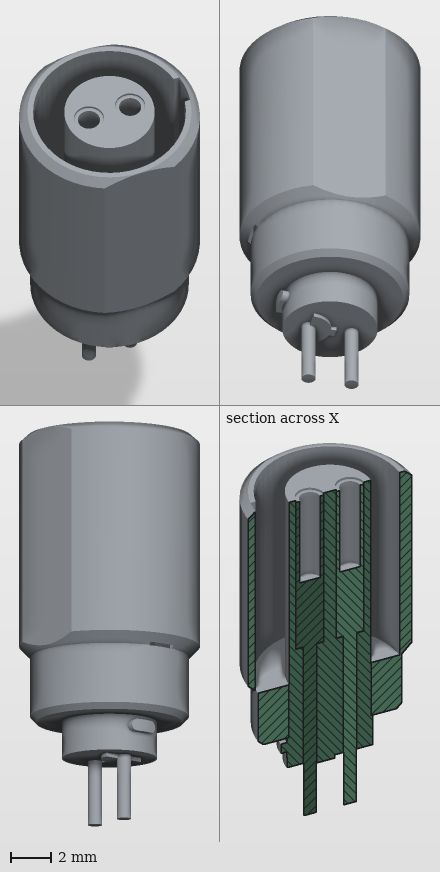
import cadquery as cq

total_height = 19.5
tail_length = 3.22

shell_radius = 4.5
flat_spacing = 8.2
sleeve_radius = 3.95
bore_radius = 3.8
rim_radius = 4.08
rim_chamfer_height = 0.37
sleeve_bottom = 5.03
sleeve_chamfer = 0.3
shell_bottom = 8.32
shell_chamfer = shell_radius - sleeve_radius
bore_floor = 8.3
key_width = 1.5

insulator_radius = 2.25
neck_radius = 2.37
lug_radius = 2.7
lug_height = 0.6
lug_z = 4.49
mark_radius = 1.13
mark_height = 0.2
mark_tab_reach = 1.37
mark_tab_width = 0.5

contact_spacing = 2.2
socket_radius = 0.75
socket_bore_radius = 0.55
socket_recess = 0.12
socket_bore_depth = 5.0
socket_length = 9.0
tail_radius = 0.355

socket_top = total_height - socket_recess
socket_bottom = socket_top - socket_length
contact_positions = [(0, side * contact_spacing / 2) for side in (1, -1)]


def cylinder(radius, bottom, top, center=(0, 0)):
    """Upright cylinder between two heights."""
    return cq.Workplane("XY", origin=(*center, bottom)).circle(radius).extrude(top - bottom)


def make_housing():
    """Flatted shell above a round sleeve, with a keyed socket from the top and a hole for the insulator."""
    profile = [
        (0, sleeve_bottom),
        (sleeve_radius - sleeve_chamfer, sleeve_bottom),
        (sleeve_radius, sleeve_bottom + sleeve_chamfer),
        (sleeve_radius, shell_bottom),
        (shell_radius, shell_bottom + shell_chamfer),
        (shell_radius, total_height - rim_chamfer_height),
        (rim_radius, total_height),
        (0, total_height),
    ]
    outside = cq.Workplane("XZ").polyline(profile).close().revolve(360, (0, 0), (0, 1))
    between_flats = cq.Workplane("XY").box(
        flat_spacing, 2 * shell_radius, total_height, centered=(True, True, False)
    )
    bore = cylinder(bore_radius, bore_floor, total_height)
    keyway_strip = cq.Workplane("XY", origin=(0, 0, bore_floor)).box(
        key_width, shell_radius, total_height - bore_floor, centered=(True, False, False)
    )
    keyway = keyway_strip.intersect(cylinder(rim_radius, bore_floor, total_height))
    insulator_hole = cylinder(insulator_radius, sleeve_bottom, bore_floor)
    return outside.intersect(between_flats).cut(bore).cut(keyway).cut(insulator_hole)


def make_lug():
    """Rounded key on the +Y side of the neck, its end face concentric with the neck."""
    bar = cq.Workplane("XZ", origin=(0, 0, lug_z)).slot2D(key_width, lug_height).extrude(-shell_radius)
    return bar.intersect(cylinder(lug_radius, 0, total_height))


def make_mark():
    """Half disc with a small tab, raised below the neck beside the +Y contact."""
    center_y = contact_spacing / 2
    bottom = tail_length - mark_height
    disc = cylinder(mark_radius, bottom, tail_length, (0, center_y))
    half = cq.Workplane("XY", origin=(0, center_y - mark_radius / 2, bottom)).box(
        2 * mark_radius, mark_radius, mark_height, centered=(True, True, False)
    )
    tab = (
        cq.Workplane("XY", origin=(0, center_y - mark_tab_reach / 2, bottom))
        .rect(mark_tab_width, mark_tab_reach)
        .extrude(mark_height)
    )
    return disc.intersect(half).union(tab)


def make_insulator():
    """Round core with a wider neck below the housing and a stepped hole for each contact."""
    neck = cylinder(neck_radius, tail_length, sleeve_bottom)
    body = cylinder(insulator_radius, tail_length, total_height)
    insulator = neck.union(body).union(make_lug()).union(make_mark())
    for position in contact_positions:
        insulator = insulator.cut(cylinder(tail_radius, 0, total_height, position))
        insulator = insulator.cut(cylinder(socket_radius, socket_bottom, total_height, position))
    return insulator


def make_contact(position):
    """Socket with a blind bore on top and a thin solder tail below."""
    tail = cylinder(tail_radius, 0, socket_bottom, position)
    socket = cylinder(socket_radius, socket_bottom, socket_top, position)
    bore = cylinder(socket_bore_radius, socket_top - socket_bore_depth, socket_top, position)
    return tail.union(socket).cut(bore)


housing = make_housing()
insulator = make_insulator()
contacts = [make_contact(position) for position in contact_positions]

result = cq.Compound.makeCompound(
    [housing.val(), insulator.val(), *[contact.val() for contact in contacts]]
)